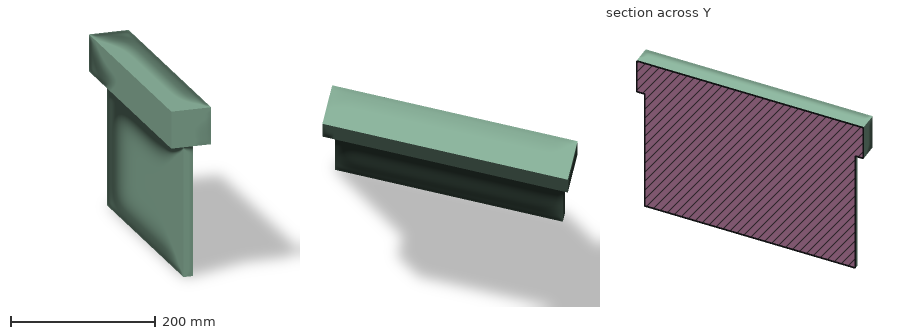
import cadquery as cq

head_length = 350.0
head_depth = 58.0
head_height = 54.2

total_height = 249.0
plate_length = 325.0
plate_thickness = 14.0
plate_height = total_height - head_height

head = cq.Workplane("XY").rect(head_length, head_depth).extrude(head_height)
plate = cq.Workplane("XY").rect(plate_length, plate_thickness).extrude(-plate_height)

result = head.union(plate)